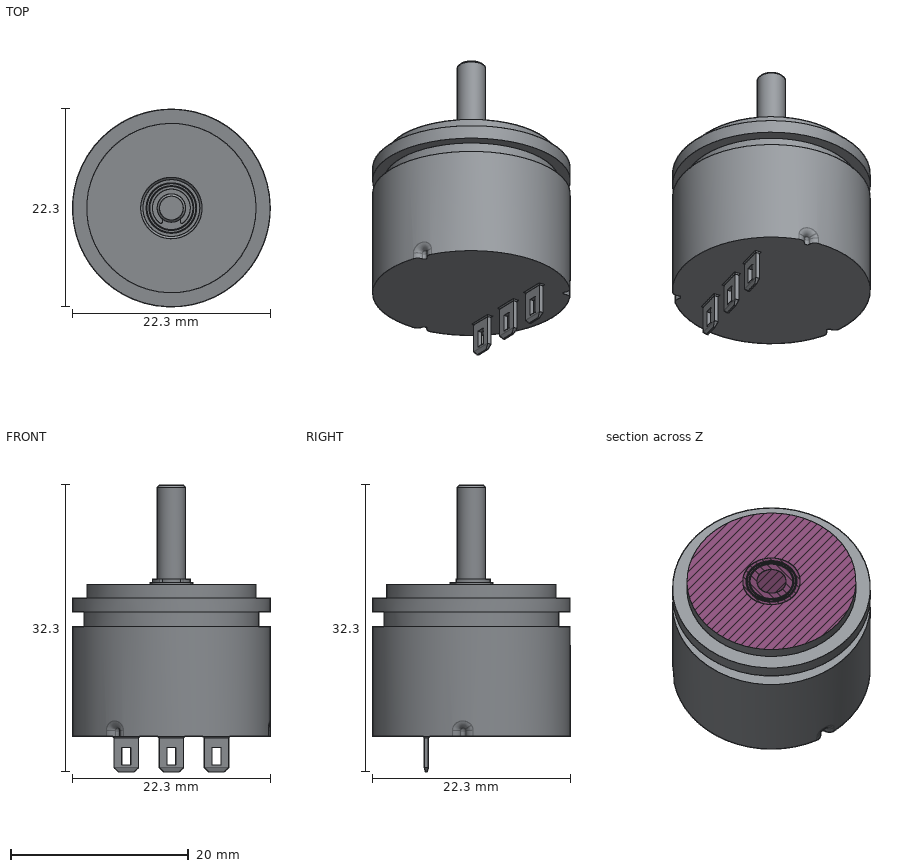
import cadquery as cq
import math

total_height = 32.28

can_diameter = 22.25
groove_diameter = 19.7
pilot_diameter = 19.05
can_height = 12.35
groove_width = 1.65
flange_thickness = 1.55
pilot_height = 1.55
groove_top = can_height + groove_width
flange_top = groove_top + flange_thickness
pilot_top = flange_top + pilot_height

notch_count = 3
first_notch_angle = 115.0
notch_radius = 0.32
notch_center_depth = 0.5
notch_straight_height = 0.65
notch_lip_radius = 0.85

terminal_count = 3
terminal_pitch = 5.07
terminal_row_y = -5.07
terminal_width = 2.78
terminal_thickness = 0.5
terminal_length = 4.0
tip_height = 0.52
tip_width = terminal_width - 2 * tip_height
tip_thickness = 0.2
eyelet_width = 0.97
eyelet_height = 1.95
eyelet_drop = 2.23
foot_height = 0.15
foot_spread = 0.13

shaft_diameter = 3.2
shaft_chamfer = 0.25
shaft_top = total_height - terminal_length

bearing_diameter = 6.4
bearing_height = 2.78
countersink = 0.25
race_bore = 5.68
hub_diameter = 4.85
hub_rise = 0.2
shield_gap = 0.1
shield_gap_depth = 0.1
shield_rise = 0.15
bearing_top = pilot_top - countersink
bearing_bottom = bearing_top - bearing_height
hub_top = pilot_top + hub_rise

clip_diameter = 4.25
clip_bore = 2.85
clip_thickness = 0.4
clip_gap = 2.0
clip_corner_radius = 0.2
clip_top = hub_top + clip_thickness


def disc(diameter, bottom, top):
    """Solid cylinder on the Z axis between two heights."""
    return cq.Workplane("XY").workplane(offset=bottom).circle(diameter / 2).extrude(top - bottom)


def make_notch_cutter():
    """Round-topped upright groove that breaks through the can wall on the +X side."""
    center = can_diameter / 2 - notch_center_depth
    outside = can_diameter / 2 + notch_radius
    diagonal = notch_radius * math.sqrt(0.5)
    shank = (
        cq.Workplane("XY").moveTo(outside, -notch_radius).lineTo(center, -notch_radius)
        .threePointArc((center - notch_radius, 0), (center, notch_radius))
        .lineTo(outside, notch_radius).close().extrude(notch_straight_height)
    )
    dome = (
        cq.Workplane("XY").moveTo(center - notch_radius, 0)
        .threePointArc((center - diagonal, diagonal), (center, notch_radius))
        .lineTo(outside, notch_radius).lineTo(outside, 0).close()
        .revolve(360, (0, 0, 0), (1, 0, 0))
        .translate((0, 0, notch_straight_height))
    )
    return shank.union(dome)


def cut_notch(can, angle):
    """Cut one staking notch at the given angle and round its lip into the can wall."""
    wall = can_diameter / 2
    lip_zone = cq.selectors.BoxSelector(
        (wall - notch_center_depth, -2 * notch_radius, notch_straight_height / 10),
        (wall + notch_center_depth, 2 * notch_radius, notch_straight_height + 2 * notch_radius),
    )
    facing_x = can.rotate((0, 0, 0), (0, 0, 1), -angle)
    notched = facing_x.cut(make_notch_cutter()).edges(lip_zone).fillet(notch_lip_radius)
    return notched.rotate((0, 0, 0), (0, 0, 1), angle)


def make_terminal(x):
    """Flat solder lug with a flared foot, an eyelet and a tapered tip."""
    tip_start = -terminal_length + tip_height
    center = (x, terminal_row_y)
    blade = (
        cq.Workplane("XY").center(*center)
        .rect(terminal_width, terminal_thickness).extrude(tip_start)
    )
    tip = (
        cq.Workplane("XY").workplane(offset=tip_start).center(*center)
        .rect(terminal_width, terminal_thickness)
        .workplane(offset=-tip_height).rect(tip_width, tip_thickness).loft()
    )
    foot = (
        cq.Workplane("XY").center(*center)
        .rect(terminal_width + 2 * foot_spread, terminal_thickness + 2 * foot_spread)
        .workplane(offset=-foot_height).rect(terminal_width, terminal_thickness).loft()
    )
    eyelet = (
        cq.Workplane("XY").box(eyelet_width, 2 * terminal_thickness, eyelet_height)
        .translate((x, terminal_row_y, -eyelet_drop))
    )
    return blade.union(tip).union(foot).cut(eyelet)


def make_housing():
    """Stepped round housing with its notches, terminals and stepped shaft bore."""
    body = disc(can_diameter, 0, can_height)
    for index in range(notch_count):
        body = cut_notch(body, first_notch_angle + index * 360 / notch_count)
    body = body.union(disc(groove_diameter, can_height, groove_top))
    body = body.union(disc(can_diameter, groove_top, flange_top))
    body = body.union(disc(pilot_diameter, flange_top, pilot_top))
    body = body.cut(disc(bearing_diameter, bearing_bottom, pilot_top))
    bore_cone = (
        cq.Workplane("XY").workplane(offset=bearing_top).circle(bearing_diameter / 2)
        .workplane(offset=countersink)
        .circle(bearing_diameter / 2 + countersink).loft()
    )
    body = body.cut(bore_cone)
    for index in range(terminal_count):
        x = (index - (terminal_count - 1) / 2) * terminal_pitch
        body = body.union(make_terminal(x))
    return body


def make_bearing():
    """Ball bearing with a raised shield between two narrow grooves and a taller inner race."""
    gap_floor = bearing_top - shield_gap_depth
    shield_outer = race_bore - 2 * shield_gap
    shield_inner = hub_diameter + 2 * shield_gap
    outer_race = disc(bearing_diameter, bearing_bottom, bearing_top)
    gaps = disc(race_bore, gap_floor, bearing_top)
    shield_top = bearing_top + shield_rise
    shield = disc(shield_outer, gap_floor, shield_top).cut(disc(shield_inner, gap_floor, shield_top))
    inner_race = disc(hub_diameter, bearing_bottom, hub_top)
    bearing = outer_race.cut(gaps).union(shield).union(inner_race)
    return bearing.cut(disc(shaft_diameter, bearing_bottom, hub_top))


def make_shaft():
    """Round shaft with a chamfered end and a groove for the clip."""
    shaft = disc(shaft_diameter, bearing_bottom, shaft_top).faces(">Z").chamfer(shaft_chamfer)
    groove = disc(shaft_diameter, hub_top, clip_top).cut(disc(clip_bore, hub_top, clip_top))
    return shaft.cut(groove)


def make_clip():
    """Open ring that rests on the inner race and grips the shaft groove."""
    ring = disc(clip_diameter, hub_top, clip_top).cut(disc(clip_bore, hub_top, clip_top))
    opening = (
        cq.Workplane("XY").workplane(offset=hub_top).center(0, -clip_diameter / 2)
        .rect(clip_gap, clip_diameter).extrude(clip_thickness)
    )
    clip = ring.cut(opening)
    tip_corner_y = -math.sqrt((clip_diameter / 2) ** 2 - (clip_gap / 2) ** 2)
    for side in (-1, 1):
        tip_corner = cq.selectors.NearestToPointSelector(
            (side * clip_gap / 2, tip_corner_y, hub_top + clip_thickness / 2)
        )
        clip = clip.edges("|Z").edges(tip_corner).fillet(clip_corner_radius)
    return clip


housing = make_housing().solids()
bearing = make_bearing().solids()
shaft = make_shaft().solids()
clip = make_clip().solids()

result = cq.Compound.makeCompound([housing.val(), bearing.val(), shaft.val(), clip.val()])